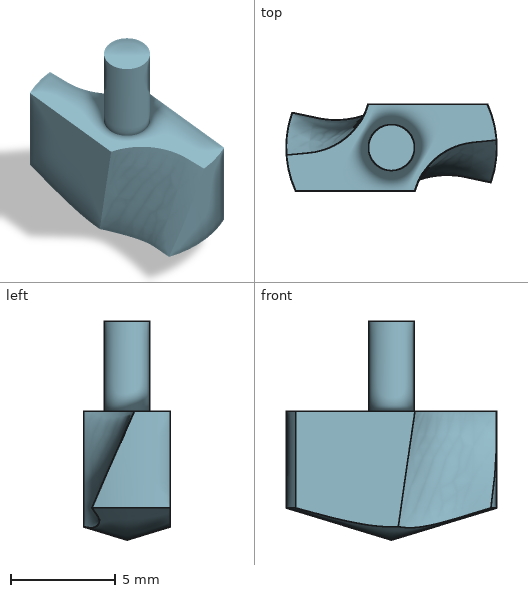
import cadquery as cq
import math

total_height = 10.5
head_top = 6.18
head_radius = 5.05
head_thickness = 4.17
cone_height = 1.54
shank_diameter = 2.2

lip_angle = 5.5
lip_start = (3.93, 0.25)
flute_radius = 3.23
flute_twist = 31.3
cutter_reach_x = 6.51
cutter_reach_y = -4.41

half_thickness = head_thickness / 2
slope = math.radians(lip_angle)
flute_center_x = lip_start[0] + flute_radius * math.sin(slope)
flute_center_y = lip_start[1] - flute_radius * math.cos(slope)
arc_start_angle = math.pi / 2 + slope
arc_end_angle = math.pi - math.asin((-half_thickness - flute_center_y) / flute_radius)


def flute_arc_point(angle):
    """Point on the flute arc at an angle in radians."""
    return (
        flute_center_x + flute_radius * math.cos(angle),
        flute_center_y + flute_radius * math.sin(angle),
    )


def make_head():
    """Turned body with a conical point, trimmed to two parallel flats."""
    turned = (
        cq.Workplane("XZ")
        .polyline([(0, 0), (head_radius, cone_height), (head_radius, head_top), (0, head_top)])
        .close()
        .revolve(360, (0, 0, 0), (0, 1, 0))
    )
    slab = cq.Workplane("XY").box(
        2 * cutter_reach_x, head_thickness, head_top, centered=(True, True, False)
    )
    return turned.intersect(slab)


def make_flute():
    """Helical flute cutter, turning counterclockwise as it rises."""
    arc_middle = flute_arc_point((arc_start_angle + arc_end_angle) / 2)
    arc_end = flute_arc_point(arc_end_angle)
    lip_end_y = lip_start[1] + (cutter_reach_x - lip_start[0]) * math.tan(slope)
    return (
        cq.Workplane("XY")
        .moveTo(cutter_reach_x, lip_end_y)
        .lineTo(*lip_start)
        .threePointArc(arc_middle, arc_end)
        .lineTo(arc_end[0], cutter_reach_y)
        .lineTo(cutter_reach_x, cutter_reach_y)
        .close()
        .twistExtrude(head_top, flute_twist)
        .rotate((0, 0, 0), (0, 0, 1), -flute_twist)
    )


flute = make_flute()
result = make_head()
for turn in (0, 180):
    result = result.cut(flute.rotate((0, 0, 0), (0, 0, 1), turn))

shank = (
    cq.Workplane("XY")
    .workplane(offset=head_top)
    .circle(shank_diameter / 2)
    .extrude(total_height - head_top)
)
result = result.union(shank)